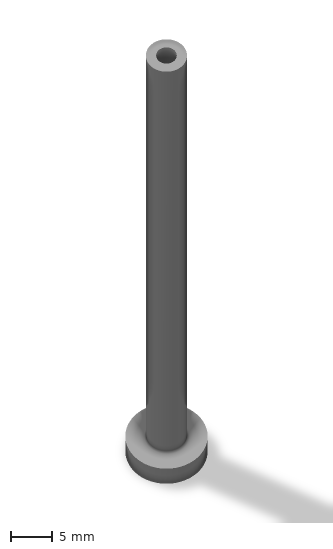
import cadquery as cq

total_length = 78.0
head_diameter = 10.0
head_thickness = 3.0
shaft_diameter = 5.0
bore_diameter = 2.5
neck_fillet_radius = 0.3

shaft_radius = shaft_diameter / 2
neck_radius = shaft_radius + neck_fillet_radius
neck_top = head_thickness + neck_fillet_radius


def make_head():
    """Round flange at the bottom end."""
    return cq.Workplane("XY").circle(head_diameter / 2).extrude(head_thickness)


def make_shaft():
    """Long cylinder running the full length of the part."""
    return cq.Workplane("XY").circle(shaft_radius).extrude(total_length)


def make_neck_fillet():
    """Concave ring blending the shaft into the top face of the head."""
    arc_offset = neck_fillet_radius * (1 - 0.5 ** 0.5)
    return (
        cq.Workplane("XZ")
        .moveTo(0, head_thickness)
        .lineTo(neck_radius, head_thickness)
        .threePointArc(
            (shaft_radius + arc_offset, head_thickness + arc_offset),
            (shaft_radius, neck_top),
        )
        .lineTo(0, neck_top)
        .close()
        .revolve(360, (0, 0, 0), (0, 1, 0))
    )


def make_bore():
    """Axial hole passing through the whole part."""
    return cq.Workplane("XY").circle(bore_diameter / 2).extrude(total_length)


result = make_head().union(make_shaft()).union(make_neck_fillet()).cut(make_bore())